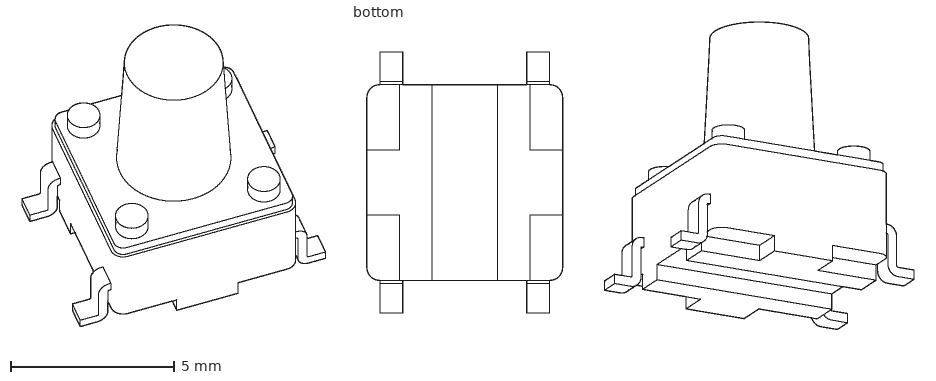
import cadquery as cq

body_side = 6.0
body_height = 3.2
corner_radius = 0.4
cover_inset = 0.1
cover_side = body_side - 2 * cover_inset
cover_corner_radius = corner_radius - cover_inset
cover_top = 3.5

foot_height = 0.5
foot_gap = 2.0
notch_depth = 1.0

peg_diameter = 1.0
peg_offset = 2.15
peg_top = 4.0

button_top = 8.0
button_base_diameter = 3.5
button_taper_degrees = 3.0

lead_width = 0.7
lead_thickness = 0.3
lead_outer_x = body_side / 2 - corner_radius
lead_center_x = lead_outer_x - lead_width / 2
lead_tip_y = 4.0
lead_outer_y = 3.4
lead_inner_y = lead_outer_y - lead_thickness
lead_top = 1.65
inner_bend_radius = 0.05
outer_bend_radius = inner_bend_radius + lead_thickness


def rounded_block(side, radius, bottom, top):
    block = cq.Workplane("XY").workplane(offset=bottom).rect(side, side).extrude(top - bottom)
    return block.edges("|Z").fillet(radius)


def make_housing():
    body = rounded_block(body_side, corner_radius, 0, body_height)
    cover = rounded_block(cover_side, cover_corner_radius, body_height, cover_top)
    return body.union(cover)


def make_underside_recesses():
    """A channel along Y plus a notch at each corner."""
    channel = cq.Workplane("XY").rect(foot_gap, body_side).extrude(foot_height)
    notch_length = (body_side - foot_gap) / 2
    notch_x = (body_side - notch_depth) / 2
    notch_y = (body_side - notch_length) / 2
    notches = (
        cq.Workplane("XY")
        .rect(2 * notch_x, 2 * notch_y, forConstruction=True)
        .vertices()
        .rect(notch_depth, notch_length)
        .extrude(foot_height)
    )
    return channel.union(notches)


def make_pegs():
    return (
        cq.Workplane("XY")
        .workplane(offset=cover_top)
        .rect(2 * peg_offset, 2 * peg_offset, forConstruction=True)
        .vertices()
        .circle(peg_diameter / 2)
        .extrude(peg_top - cover_top)
    )


def make_button():
    return (
        cq.Workplane("XY")
        .workplane(offset=cover_top)
        .circle(button_base_diameter / 2)
        .extrude(button_top - cover_top, taper=button_taper_degrees)
    )


def make_lead():
    """Z-shaped lead on the +Y side, centred on X = 0."""
    wall_y = body_side / 2
    bar = (
        cq.Workplane("YZ")
        .moveTo(wall_y, lead_top)
        .lineTo(lead_outer_y, lead_top)
        .lineTo(lead_outer_y, lead_thickness)
        .lineTo(lead_tip_y, lead_thickness)
        .lineTo(lead_tip_y, 0)
        .lineTo(lead_inner_y, 0)
        .lineTo(lead_inner_y, lead_top - lead_thickness)
        .lineTo(wall_y, lead_top - lead_thickness)
        .close()
        .extrude(lead_width / 2, both=True)
    )

    def bend(solid, y, z, radius):
        edge = solid.edges(cq.selectors.NearestToPointSelector((0, y, z)))
        return edge.fillet(radius)

    bar = bend(bar, lead_outer_y, lead_top, outer_bend_radius)
    bar = bend(bar, lead_inner_y, 0, outer_bend_radius)
    bar = bend(bar, lead_outer_y, lead_thickness, inner_bend_radius)
    return bend(bar, lead_inner_y, lead_top - lead_thickness, inner_bend_radius)


result = make_housing().cut(make_underside_recesses()).union(make_pegs()).union(make_button())
for x in (-lead_center_x, lead_center_x):
    lead = make_lead().translate((x, 0, 0))
    result = result.union(lead).union(lead.mirror("XZ"))